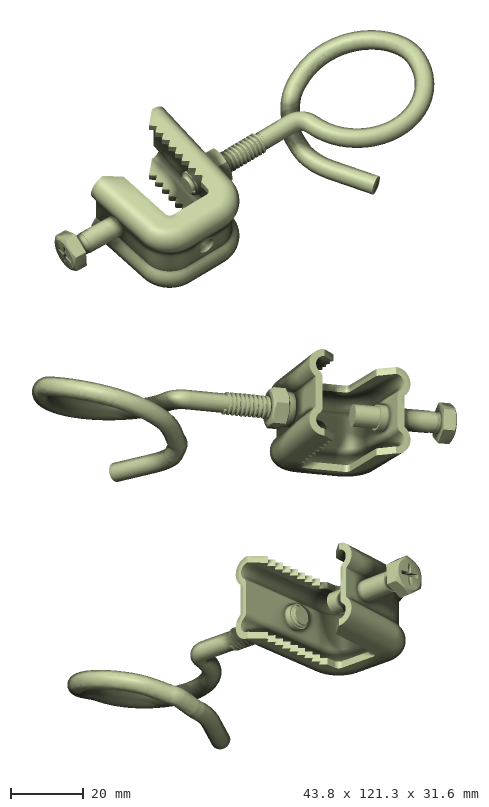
import cadquery as cq
import math


SHEET = 2.0
CLAMP_HALF_WIDTH = 12.4
LOBE_RADIUS = 4.4
LOBE_CENTRE_Z = CLAMP_HALF_WIDTH - LOBE_RADIUS
WEB_HALF_WIDTH = 4.4
WEB_DEPTH = LOBE_RADIUS - math.sqrt(LOBE_RADIUS**2 - (LOBE_CENTRE_Z - WEB_HALF_WIDTH) ** 2)
WEB_INNER_DEPTH = WEB_DEPTH + SHEET
FLANGE_DEPTH = 8.5

BEND_RADIUS = 10.0
UPPER_ARM_END_X = -19.5
BACK_X = 21.7
BEND_CENTRE_X = BACK_X - BEND_RADIUS
BACK_STRAIGHT = 11.55
LOWER_BEND_CENTRE_Y = -BEND_RADIUS - BACK_STRAIGHT
LOWER_ARM_LENGTH = 21.4
LOWER_ARM_TILT = 5.0

TOOTH_PITCH = 3.03
TOOTH_DEPTH = 1.7
TOOTH_GAPS = 8
FIRST_TOOTH_X = -15.5
END_BEVEL = FLANGE_DEPTH - LOBE_RADIUS
COLLAR_RADIUS = 3.65
COLLAR_HEIGHT = 2.0
LOWER_COLLAR_HEIGHT = 2.6
BACK_HOLE_RADIUS = 2.5
BACK_HOLE_Y = -15.0

WIRE_RADIUS = 2.7
RING_RADIUS = 18.6
RING_CENTRE_Y = 51.68
RING_DROP = 16.46
SLOPE_BLEND_ANGLE = math.radians(8)
LEVEL_BLEND_ANGLE = math.radians(3)
SLOPE_POINTS = 9
ELBOW_JOIN_ANGLE = math.radians(11.5)
TAIL_ANGLE = math.radians(30)
TAIL_END_X = 22.49
THREAD_RADIUS = 3.175
THREAD_CORE_RADIUS = 2.6
THREAD_PITCH = 1.27
THREAD_RIDGE_ROOT_RADIUS = 2.4
THREAD_ROOT_WIDTH = 1.1
THREAD_CREST_WIDTH = 0.4
THREAD_TOP_Y = 18.7
BOLT_TIP_Y = -WEB_INNER_DEPTH - COLLAR_HEIGHT - 1.1
BOLT_HOLE_RADIUS = THREAD_RADIUS + 0.05

NUT_BOTTOM_Y = 0.4
NUT_THICKNESS = 4.8
NUT_ACROSS_FLATS = 10.2
WASHER_RADIUS = 4.9
WASHER_CHAMFER = 0.6

SCREW_TIP_X = -0.2
SCREW_TIP_Y = -19.4
SCREW_TILT = 2.0
SCREW_RADIUS = 3.1
SHANK_LENGTH = 22.0
NECK_RADIUS = 2.95
NECK_END = 23.5
GROOVE_RADIUS = 2.75
GROOVE_END = 24.2
HEAD_START = 24.8
HEAD_END = 28.83
HEAD_ACROSS_FLATS = 10.0
HEAD_TURN = 4.0
RECESS_LENGTH = 6.4
RECESS_WIDTH = 1.1
RECESS_DEPTH = 2.6

HEX_CHAMFER_DROP = 0.7
HEX_FACE_RATIO = 0.9


def rod(start, direction, length, radius):
    return cq.Workplane(cq.Solid.makeCylinder(radius, length, start, direction))


def hexagon(across_flats, bottom_y, top_y):
    """Hexagonal prism along Y with two corners on the X axis."""
    across_corners = across_flats / math.cos(math.pi / 6)
    prism = cq.Workplane("XZ", origin=(0, top_y, 0)).polygon(6, across_corners)
    return prism.extrude(top_y - bottom_y)


def corner_limit(across_flats, bottom_y, top_y):
    """Round blank along Y whose chamfered ends take the corners off a hexagon."""
    corner = across_flats / math.sqrt(3)
    face = across_flats / 2 * HEX_FACE_RATIO
    outline = cq.Workplane("XY").moveTo(0, bottom_y).lineTo(face, bottom_y)
    outline = outline.lineTo(corner, bottom_y + HEX_CHAMFER_DROP)
    outline = outline.lineTo(corner, top_y - HEX_CHAMFER_DROP).lineTo(face, top_y).lineTo(0, top_y)
    return outline.close().revolve(360, (0, 0, 0), (0, 1, 0))



def lobe_point(radius, angle):
    """Point (depth, z) on the upper lobe; angle 0 points outwards and positive angles lead to +Z."""
    return LOBE_RADIUS - radius * math.cos(angle), LOBE_CENTRE_Z + radius * math.sin(angle)


def clamp_section():
    """Folded sheet section at the end of the upper arm, symmetric about Z = 0."""
    inner_radius = LOBE_RADIUS - SHEET
    inner_z = CLAMP_HALF_WIDTH - SHEET
    crease = math.acos((LOBE_RADIUS - WEB_DEPTH) / LOBE_RADIUS)
    bend_middle = (
        WEB_DEPTH + SHEET * math.cos(crease / 2),
        WEB_HALF_WIDTH + SHEET * math.sin(crease / 2),
    )

    def at(point, side=1):
        return -point[0], side * point[1]

    section = cq.Workplane("YZ", origin=(UPPER_ARM_END_X, 0, 0))
    section = section.moveTo(*at((WEB_DEPTH, WEB_HALF_WIDTH), -1)).lineTo(*at((WEB_DEPTH, WEB_HALF_WIDTH)))
    section = section.threePointArc(at(lobe_point(LOBE_RADIUS, 0)), at((LOBE_RADIUS, CLAMP_HALF_WIDTH)))
    section = section.lineTo(*at((FLANGE_DEPTH, CLAMP_HALF_WIDTH))).lineTo(*at((FLANGE_DEPTH, inner_z)))
    section = section.lineTo(*at((LOBE_RADIUS, inner_z)))
    section = section.threePointArc(at(lobe_point(inner_radius, 0)), at(lobe_point(inner_radius, -crease)))
    section = section.threePointArc(at(bend_middle), at((WEB_INNER_DEPTH, WEB_HALF_WIDTH)))
    section = section.lineTo(*at((WEB_INNER_DEPTH, WEB_HALF_WIDTH), -1))
    section = section.threePointArc(at(bend_middle, -1), at(lobe_point(inner_radius, -crease), -1))
    section = section.threePointArc(at(lobe_point(inner_radius, 0), -1), at((LOBE_RADIUS, inner_z), -1))
    section = section.lineTo(*at((FLANGE_DEPTH, inner_z), -1)).lineTo(*at((FLANGE_DEPTH, CLAMP_HALF_WIDTH), -1))
    section = section.lineTo(*at((LOBE_RADIUS, CLAMP_HALF_WIDTH), -1))
    section = section.threePointArc(
        at(lobe_point(LOBE_RADIUS, 0), -1), at((WEB_DEPTH, WEB_HALF_WIDTH), -1)
    )
    return section.close()


def lower_arm_point(along, depth):
    """Point (x, y) a distance along the lower arm from its bend and at a depth below its outer face."""
    tilt = math.radians(LOWER_ARM_TILT)
    radius = BEND_RADIUS - depth
    x = BEND_CENTRE_X + radius * math.sin(tilt) - along * math.cos(tilt)
    y = LOWER_BEND_CENTRE_Y - radius * math.cos(tilt) - along * math.sin(tilt)
    return x, y


def clamp_path():
    corner = BEND_RADIUS * math.sqrt(0.5)
    half_turn = math.radians(90 - LOWER_ARM_TILT) / 2
    path = cq.Workplane("XY").moveTo(UPPER_ARM_END_X, 0).lineTo(BEND_CENTRE_X, 0)
    path = path.threePointArc(
        (BEND_CENTRE_X + corner, -BEND_RADIUS + corner), (BACK_X, -BEND_RADIUS)
    )
    path = path.lineTo(BACK_X, LOWER_BEND_CENTRE_Y)
    path = path.threePointArc(
        (
            BEND_CENTRE_X + BEND_RADIUS * math.cos(half_turn),
            LOWER_BEND_CENTRE_Y - BEND_RADIUS * math.sin(half_turn),
        ),
        lower_arm_point(0, 0),
    )
    return path.lineTo(*lower_arm_point(LOWER_ARM_LENGTH, 0))


def through_clamp(points):
    return cq.Workplane("XY").polyline(points).close().extrude(CLAMP_HALF_WIDTH + 1, both=True)


def tooth_gaps():
    """V gaps between the teeth of the upper arm's flanges."""
    gaps = cq.Workplane("XY")
    for i in range(TOOTH_GAPS):
        tip_x = FIRST_TOOTH_X + i * TOOTH_PITCH
        gaps = gaps.add(through_clamp([
            (tip_x, -FLANGE_DEPTH),
            (tip_x + TOOTH_PITCH / 2, -FLANGE_DEPTH + TOOTH_DEPTH),
            (tip_x + TOOTH_PITCH, -FLANGE_DEPTH),
        ]))
    return gaps


def end_bevels():
    """45 degree corners taken off the flanges at the free ends of both arms."""
    upper = through_clamp([
        (UPPER_ARM_END_X, -LOBE_RADIUS),
        (UPPER_ARM_END_X + END_BEVEL, -FLANGE_DEPTH),
        (UPPER_ARM_END_X, -FLANGE_DEPTH),
    ])
    lower = through_clamp([
        lower_arm_point(LOWER_ARM_LENGTH, LOBE_RADIUS),
        lower_arm_point(LOWER_ARM_LENGTH - END_BEVEL, FLANGE_DEPTH),
        lower_arm_point(LOWER_ARM_LENGTH, FLANGE_DEPTH),
    ])
    return upper, lower


def screw_axis():
    """Tip of the screw and the direction from its tip to its head."""
    tilt = math.radians(SCREW_TILT)
    return cq.Vector(SCREW_TIP_X, SCREW_TIP_Y, 0), cq.Vector(-math.sin(tilt), -math.cos(tilt), 0)


def make_clamp():
    clamp = clamp_section().sweep(clamp_path())
    clamp = clamp.cut(tooth_gaps().combine())
    for bevel in end_bevels():
        clamp = clamp.cut(bevel)

    tip, towards_head = screw_axis()
    arm_tilt = math.radians(LOWER_ARM_TILT)
    arm_inwards = cq.Vector(-math.sin(arm_tilt), math.cos(arm_tilt), 0)
    screw_along = lower_arm_point(0, WEB_DEPTH)[0] / math.cos(arm_tilt)
    lower_web = cq.Vector(*lower_arm_point(screw_along, WEB_DEPTH))
    collars = [
        (cq.Vector(0, -WEB_DEPTH, 0), cq.Vector(0, -1, 0), COLLAR_HEIGHT),
        (cq.Vector(BACK_X - WEB_DEPTH, BACK_HOLE_Y, 0), cq.Vector(-1, 0, 0), COLLAR_HEIGHT),
        (lower_web, arm_inwards, LOWER_COLLAR_HEIGHT),
    ]
    for start, inwards, height in collars:
        clamp = clamp.union(rod(start, inwards, SHEET + height, COLLAR_RADIUS))

    back_start = cq.Vector(BACK_X, BACK_HOLE_Y, 0)
    clamp = clamp.cut(rod(cq.Vector(), cq.Vector(0, -1, 0), BEND_RADIUS, BOLT_HOLE_RADIUS))
    clamp = clamp.cut(rod(back_start, cq.Vector(-1, 0, 0), BEND_RADIUS, BACK_HOLE_RADIUS))
    return clamp.cut(rod(tip, towards_head, SHANK_LENGTH, SCREW_RADIUS))



def ring_point(angle, z=0.0):
    """Point of the ring's centre line; angle 0 is nearest the clamp and positive angles lead to +X."""
    return cq.Vector(RING_RADIUS * math.sin(angle), RING_CENTRE_Y - RING_RADIUS * math.cos(angle), z)


def slope_height(angle):
    """Height of the ring's falling half, which drops evenly with the angle."""
    return -RING_DROP * (angle / math.pi - 1)


def ring_direction(angle, falling=False):
    """Unit direction of the ring's centre line."""
    fall = -RING_DROP / (math.pi * RING_RADIUS) if falling else 0
    return cq.Vector(math.cos(angle), math.sin(angle), fall).normalized()


def ring_wire():
    """Centre line: shank, elbow, level half turn, falling half turn, level arc and straight tail."""
    join = ring_point(ELBOW_JOIN_ANGLE)
    elbow_radius = join.x / (1 - math.sin(ELBOW_JOIN_ANGLE))
    elbow_turn = math.pi / 2 - ELBOW_JOIN_ANGLE
    elbow_start = cq.Vector(0, join.y - elbow_radius * math.sin(elbow_turn), 0)
    elbow_middle = elbow_start + cq.Vector(
        elbow_radius * (1 - math.cos(elbow_turn / 2)), elbow_radius * math.sin(elbow_turn / 2), 0
    )
    level_end = ring_point(math.pi - SLOPE_BLEND_ANGLE)
    level_middle = ring_point((ELBOW_JOIN_ANGLE + math.pi) / 2)

    slope_start_angle = math.pi + SLOPE_BLEND_ANGLE
    slope_step = (2 * math.pi - LEVEL_BLEND_ANGLE - slope_start_angle) / (SLOPE_POINTS - 1)
    slope_angles = [slope_start_angle + i * slope_step for i in range(SLOPE_POINTS)]
    slope = [ring_point(angle, slope_height(angle)) for angle in slope_angles]
    slope_directions = [ring_direction(slope_angles[0], True), ring_direction(slope_angles[-1], True)]
    falling_blend = [ring_direction(math.pi - SLOPE_BLEND_ANGLE), slope_directions[0]]
    levelling_blend = [slope_directions[1], ring_direction(LEVEL_BLEND_ANGLE)]

    tail_arc_start = ring_point(LEVEL_BLEND_ANGLE, -RING_DROP)
    tail_arc_middle = ring_point((LEVEL_BLEND_ANGLE + TAIL_ANGLE) / 2, -RING_DROP)
    tail_start = ring_point(TAIL_ANGLE, -RING_DROP)
    tail_centre_x = TAIL_END_X - WIRE_RADIUS * math.sin(TAIL_ANGLE)
    tail_reach = tail_centre_x - tail_start.x
    tail_end = tail_start + cq.Vector(tail_reach, tail_reach * math.tan(TAIL_ANGLE), 0)

    return cq.Wire.assembleEdges([
        cq.Edge.makeLine(cq.Vector(0, THREAD_TOP_Y, 0), elbow_start),
        cq.Edge.makeThreePointArc(elbow_start, elbow_middle, join),
        cq.Edge.makeThreePointArc(join, level_middle, level_end),
        cq.Edge.makeSpline([level_end, slope[0]], falling_blend),
        cq.Edge.makeSpline(slope, slope_directions),
        cq.Edge.makeSpline([slope[-1], tail_arc_start], levelling_blend),
        cq.Edge.makeThreePointArc(tail_arc_start, tail_arc_middle, tail_start),
        cq.Edge.makeLine(tail_start, tail_end),
    ])


def thread_ridge():
    """Helical ridge round the threaded end of the bolt."""
    first_y = BOLT_TIP_Y + THREAD_ROOT_WIDTH / 2
    length = THREAD_TOP_Y - THREAD_ROOT_WIDTH / 2 - first_y
    helix = cq.Wire.makeHelix(THREAD_PITCH, length, THREAD_RIDGE_ROOT_RADIUS)
    ridge = cq.Workplane("XZ").polyline([
        (THREAD_RIDGE_ROOT_RADIUS, -THREAD_ROOT_WIDTH / 2),
        (THREAD_RADIUS, -THREAD_CREST_WIDTH / 2),
        (THREAD_RADIUS, THREAD_CREST_WIDTH / 2),
        (THREAD_RIDGE_ROOT_RADIUS, THREAD_ROOT_WIDTH / 2),
    ]).close().sweep(cq.Workplane(helix), isFrenet=True)
    return ridge.rotate((0, 0, 0), (1, 0, 0), -90).translate((0, first_y, 0))


def make_ring_bolt():
    wire = cq.Workplane("XZ", origin=(0, THREAD_TOP_Y, 0)).circle(WIRE_RADIUS).sweep(cq.Workplane(ring_wire()))
    core_start = cq.Vector(0, BOLT_TIP_Y, 0)
    core = rod(core_start, cq.Vector(0, 1, 0), THREAD_TOP_Y - BOLT_TIP_Y, THREAD_CORE_RADIUS)
    return core.union(thread_ridge()).union(wire)



def make_nut():
    top_y = NUT_BOTTOM_Y + NUT_THICKNESS
    nut = hexagon(NUT_ACROSS_FLATS, NUT_BOTTOM_Y, top_y)
    nut = nut.intersect(corner_limit(NUT_ACROSS_FLATS, NUT_BOTTOM_Y, top_y))
    bore = rod(cq.Vector(0, NUT_BOTTOM_Y, 0), cq.Vector(0, 1, 0), NUT_THICKNESS, BOLT_HOLE_RADIUS)
    return nut.cut(bore)


def make_washer():
    thickness = NUT_BOTTOM_Y + WEB_DEPTH
    washer = cq.Workplane("XZ", origin=(0, NUT_BOTTOM_Y, 0)).circle(WASHER_RADIUS).extrude(thickness)
    return washer.faces("<Y").edges().chamfer(WASHER_CHAMFER).cut(
        rod(cq.Vector(0, -WEB_DEPTH, 0), cq.Vector(0, 1, 0), thickness, BOLT_HOLE_RADIUS)
    )



def cross_recess():
    """Cross of two slots, each with a floor that falls to the middle of the head."""
    half = RECESS_LENGTH / 2
    slot = cq.Workplane("XY").polyline([(-half, -HEAD_END), (0, -HEAD_END + RECESS_DEPTH), (half, -HEAD_END)])
    slot = slot.close().extrude(RECESS_WIDTH / 2, both=True)
    return slot.union(slot.rotate((0, 0, 0), (0, 1, 0), 90))


def make_screw():
    shank = cq.Workplane("XY").polyline([
        (0, 0),
        (SCREW_RADIUS, 0),
        (SCREW_RADIUS, -SHANK_LENGTH),
        (NECK_RADIUS, -SHANK_LENGTH),
        (NECK_RADIUS, -NECK_END),
        (GROOVE_RADIUS, -NECK_END),
        (GROOVE_RADIUS, -GROOVE_END),
        (NECK_RADIUS, -GROOVE_END),
        (NECK_RADIUS, -HEAD_START),
        (0, -HEAD_START),
    ]).close().revolve(360, (0, 0, 0), (0, 1, 0))
    head = hexagon(HEAD_ACROSS_FLATS, -HEAD_END, -HEAD_START).rotate((0, 0, 0), (0, 1, 0), 30)
    limit = corner_limit(HEAD_ACROSS_FLATS, -HEAD_END, 0)
    head = head.intersect(limit).cut(cross_recess())
    head = head.rotate((0, 0, 0), (0, 1, 0), -HEAD_TURN)
    screw = shank.union(head).rotate((0, 0, 0), (0, 0, 1), -SCREW_TILT)
    return screw.translate((SCREW_TIP_X, SCREW_TIP_Y, 0))


clamp = make_clamp()
ring_bolt = make_ring_bolt()
nut = make_nut()
washer = make_washer()
screw = make_screw()

result = cq.Compound.makeCompound([clamp.val(), ring_bolt.val(), nut.val(), washer.val(), screw.val()])